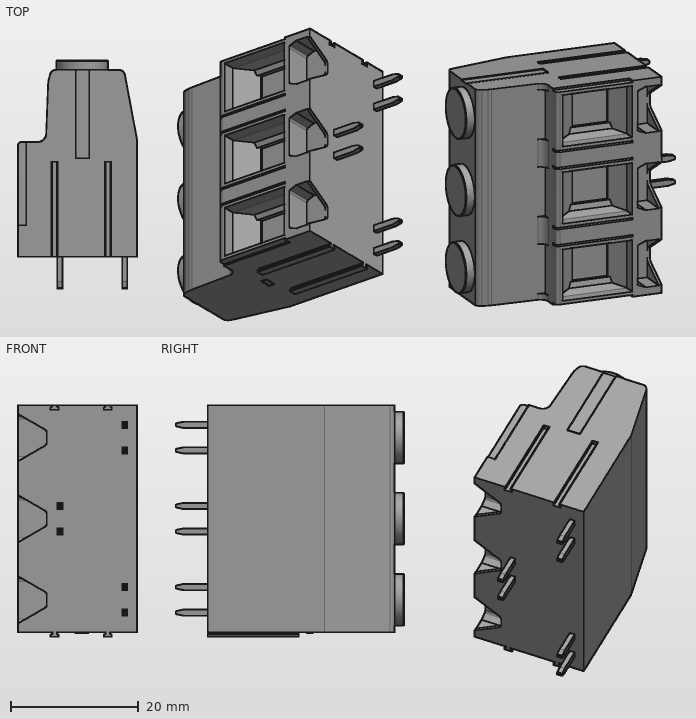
import cadquery as cq
import math


POLES = 3
PITCH = 12.7
WIDTH = 18.7
DEPTH = 29.3
HEIGHT = 35.6
FIRST_POLE_Z = HEIGHT / 2 - PITCH * (POLES - 1) / 2
POLE_Z = [FIRST_POLE_Z + PITCH * i for i in range(POLES)]
OVERLAP = 0.3

STEP_Y = 18.0
STEP_EDGE_RADIUS = 0.6
WALL_FOOT_X = 4.38
WALL_TOP = (4.73, 27.0)
WALL_BREAK = (4.79, 27.6)
WALL_SHOULDER = (5.02, 28.5)
SCREW_FACE_START_X = 5.8
BACK_TOP_X = 16.64
BACK_BREAK_Y = 18.3
BACK_EDGE_RADIUS = 1.0

WEB_RADIUS = 1.25
WEB_GAP_HALF = 4.08

SCREW_X = 10.07
SCREW_DIAMETER = 8.15
SCREW_RISE = 1.5
SCREW_EDGE = 0.13

GROOVE_DEPTH = 1.3
GROOVE_END_Y = 4.95
GROOVE_INNER = 4.8
GROOVE_OUTER = 5.1

FUNNEL_Y = (5.04, 16.85)
FUNNEL_FLOOR_Y = (7.24, 13.26)
FUNNEL_HALF_Z = 4.24
FUNNEL_BREAK_HALF_Z = 3.73
FUNNEL_FLOOR_HALF_Z = 2.78
FUNNEL_STRAIGHT_X = 2.14
FUNNEL_BREAK_X = 4.0
FUNNEL_LEDGE_X = 4.25
FUNNEL_TAPER_X = 4.55
FUNNEL_FLOOR_X = 4.95

CHAMBER_DEPTH = 4.55
LIP = 0.5
CHAMBER_TOP_Y = 4.11
CHAMBER_HALF_Z = 3.82
CHAMBER_BEND_Y = 2.7
CHAMBER_LEAN = (3.9, 3.36)
CHAMBER_TOP_HALF_Z = 2.95
CHAMBER_ARC_MIDDLE = (4.05, 3.2)
LIP_MOUTH_HALF_Z = 3.72
LIP_ANGLE = 30
LIP_CORNER_RADIUS = 0.8

PIN_LENGTH = 5.0
PIN_WIDTH = 0.85
PIN_THICKNESS = 1.0
PIN_TIP_LENGTH = 1.2
PIN_TIP_THICKNESS = 0.55
PIN_END_CHAMFER = 0.15
PIN_OFFSET_Z = 2.0
PIN_STAGGER = 10.16
PIN_BACK_X = 16.75
PIN_FRONT_X = PIN_BACK_X - PIN_STAGGER
PIN_ROOT = 1.0

RAIL_X = (5.76, 14.1)
RAIL_RISE = 0.71
RAIL_LENGTH = 14.3
SLOT_LENGTH = 14.87
SLOT_MOUTH = 1.0
SLOT_MOUTH_CHAMFER = 0.12
RAIL_NECK = 0.7
RAIL_HEAD = 1.3
RAIL_NECK_RISE = 0.2
RAIL_FLARE_RISE = 0.4

CHANNEL_X = (9.06, 11.2)
CHANNEL_START_Y = 15.43
CHANNEL_DEPTH = 0.15
STUD_X = (9.0, 11.0)
STUD_Y = (15.5, 16.5)
STUD_RISE = 0.1


def box(x, y, z):
    """Box between the (low, high) limits given for each axis."""
    return (
        cq.Workplane("XY")
        .box(x[1] - x[0], y[1] - y[0], z[1] - z[0], centered=False)
        .translate((x[0], y[0], z[0]))
    )


def make_housing():
    housing = (
        cq.Workplane("XY")
        .moveTo(0, 0)
        .lineTo(0, STEP_Y)
        .lineTo(WALL_FOOT_X, STEP_Y)
        .lineTo(*WALL_TOP)
        .lineTo(*WALL_BREAK)
        .lineTo(*WALL_SHOULDER)
        .tangentArcPoint((SCREW_FACE_START_X, DEPTH), relative=False)
        .lineTo(BACK_TOP_X, DEPTH)
        .lineTo(WIDTH, BACK_BREAK_Y)
        .lineTo(WIDTH, 0)
        .close()
        .extrude(HEIGHT)
    )
    middle = HEIGHT / 2
    housing = housing.edges(cq.NearestToPointSelector((0, STEP_Y, middle))).fillet(STEP_EDGE_RADIUS)
    return housing.edges(cq.NearestToPointSelector((BACK_TOP_X, DEPTH, middle))).fillet(BACK_EDGE_RADIUS)


def make_webs():
    lean = (WALL_TOP[0] - WALL_FOOT_X) / (WALL_TOP[1] - STEP_Y)
    top_y = STEP_Y + WEB_RADIUS
    top_x = WALL_FOOT_X + WEB_RADIUS * lean
    start_x = WALL_FOOT_X - WEB_RADIUS
    reach = WEB_RADIUS * (1 - math.sqrt(0.5))
    webs = (
        cq.Workplane("XY")
        .moveTo(start_x, STEP_Y)
        .threePointArc((WALL_FOOT_X - reach, STEP_Y + reach), (top_x, top_y))
        .lineTo(top_x + OVERLAP, top_y)
        .lineTo(top_x + OVERLAP, STEP_Y - OVERLAP)
        .lineTo(start_x, STEP_Y - OVERLAP)
        .close()
        .extrude(HEIGHT)
    )
    for z in POLE_Z:
        gap = (z - WEB_GAP_HALF, z + WEB_GAP_HALF)
        webs = webs.cut(box((0, WIDTH), (STEP_Y - OVERLAP, DEPTH), gap))
    return webs


def make_screw(z):
    return (
        cq.Workplane("XZ", origin=(SCREW_X, DEPTH - OVERLAP, z))
        .circle(SCREW_DIAMETER / 2)
        .extrude(-(SCREW_RISE + OVERLAP))
        .faces(">Y")
        .edges()
        .chamfer(SCREW_EDGE)
    )


def make_grooves(z):
    depth = (0, GROOVE_DEPTH)
    length = (GROOVE_END_Y, STEP_Y)
    upper = box(depth, length, (z + GROOVE_INNER, z + GROOVE_OUTER))
    lower = box(depth, length, (z - GROOVE_OUTER, z - GROOVE_INNER))
    return upper.union(lower)


def make_funnel(z):
    """The Y taper and the Z taper are two prisms; the funnel is what they share."""
    y_taper = (
        cq.Workplane("XY", origin=(0, 0, z))
        .polyline([
            (0, FUNNEL_Y[0]),
            (FUNNEL_STRAIGHT_X, FUNNEL_Y[0]),
            (FUNNEL_TAPER_X, FUNNEL_FLOOR_Y[0]),
            (FUNNEL_FLOOR_X, FUNNEL_FLOOR_Y[0]),
            (FUNNEL_FLOOR_X, FUNNEL_FLOOR_Y[1]),
            (FUNNEL_TAPER_X, FUNNEL_FLOOR_Y[1]),
            (FUNNEL_STRAIGHT_X, FUNNEL_Y[1]),
            (0, FUNNEL_Y[1]),
        ])
        .close()
        .extrude(PITCH / 2, both=True)
    )
    upper_half = [
        (0, FUNNEL_HALF_Z),
        (FUNNEL_STRAIGHT_X, FUNNEL_HALF_Z),
        (FUNNEL_BREAK_X, FUNNEL_BREAK_HALF_Z),
        (FUNNEL_LEDGE_X, FUNNEL_FLOOR_HALF_Z),
        (FUNNEL_FLOOR_X, FUNNEL_FLOOR_HALF_Z),
    ]
    lower_half = [(x, -half) for x, half in reversed(upper_half)]
    z_taper = (
        cq.Workplane("XZ", origin=(0, 0, z))
        .polyline(upper_half + lower_half)
        .close()
        .extrude(-DEPTH)
    )
    return y_taper.intersect(z_taper)


def make_chamber(z):
    lean_y, lean_half = CHAMBER_LEAN
    arc_mid_y, arc_mid_half = CHAMBER_ARC_MIDDLE
    cavity = (
        cq.Workplane("YZ", origin=(0, 0, z))
        .moveTo(LIP, -CHAMBER_HALF_Z)
        .lineTo(CHAMBER_BEND_Y, -CHAMBER_HALF_Z)
        .lineTo(lean_y, -lean_half)
        .threePointArc((arc_mid_y, -arc_mid_half), (CHAMBER_TOP_Y, -CHAMBER_TOP_HALF_Z))
        .lineTo(CHAMBER_TOP_Y, CHAMBER_TOP_HALF_Z)
        .threePointArc((arc_mid_y, arc_mid_half), (lean_y, lean_half))
        .lineTo(CHAMBER_BEND_Y, CHAMBER_HALF_Z)
        .lineTo(LIP, CHAMBER_HALF_Z)
        .close()
        .extrude(CHAMBER_DEPTH)
    )
    lip_bottom_half = LIP_MOUTH_HALF_Z - CHAMBER_DEPTH * math.tan(math.radians(LIP_ANGLE))
    mouth = (
        cq.Workplane("XZ", origin=(0, 0, z))
        .polyline([
            (0, -LIP_MOUTH_HALF_Z),
            (CHAMBER_DEPTH, -lip_bottom_half),
            (CHAMBER_DEPTH, lip_bottom_half),
            (0, LIP_MOUTH_HALF_Z),
        ])
        .close()
        .extrude(-LIP)
        .edges("|Y and >X")
        .fillet(LIP_CORNER_RADIUS)
    )
    return cavity.union(mouth)


def make_pin(x, z):
    half = PIN_THICKNESS / 2
    tip_half = PIN_TIP_THICKNESS / 2
    shoulder_y = PIN_TIP_LENGTH - PIN_LENGTH
    return (
        cq.Workplane("YZ", origin=(x - PIN_WIDTH / 2, 0, z))
        .polyline([
            (PIN_ROOT, half),
            (shoulder_y, half),
            (PIN_END_CHAMFER - PIN_LENGTH, tip_half),
            (-PIN_LENGTH, tip_half - PIN_END_CHAMFER),
            (-PIN_LENGTH, PIN_END_CHAMFER - tip_half),
            (PIN_END_CHAMFER - PIN_LENGTH, -tip_half),
            (shoulder_y, -half),
            (PIN_ROOT, -half),
        ])
        .close()
        .extrude(PIN_WIDTH)
    )


def make_rail(x, z, length):
    """T-shaped bar from the board face, hanging down from height z."""
    neck = RAIL_NECK / 2
    head = RAIL_HEAD / 2
    return (
        cq.Workplane("XZ", origin=(x, 0, z))
        .polyline([
            (-neck, 0),
            (-neck, -RAIL_NECK_RISE),
            (-head, -RAIL_FLARE_RISE),
            (-head, -RAIL_RISE),
            (head, -RAIL_RISE),
            (head, -RAIL_FLARE_RISE),
            (neck, -RAIL_NECK_RISE),
            (neck, 0),
        ])
        .close()
        .extrude(-length)
    )


def make_slot(x):
    mouth = SLOT_MOUTH / 2
    neck = RAIL_NECK / 2
    lead_in = (
        cq.Workplane("XZ", origin=(x, 0, HEIGHT))
        .polyline([
            (-mouth, 0),
            (-neck, -SLOT_MOUTH_CHAMFER),
            (neck, -SLOT_MOUTH_CHAMFER),
            (mouth, 0),
        ])
        .close()
        .extrude(-SLOT_LENGTH)
    )
    return make_rail(x, HEIGHT, SLOT_LENGTH).union(lead_in)


result = make_housing().union(make_webs())

for pole, pole_z in enumerate(POLE_Z):
    result = result.cut(make_grooves(pole_z))
    result = result.cut(make_funnel(pole_z))
    result = result.cut(make_chamber(pole_z))
    result = result.union(make_screw(pole_z))
    pin_x = PIN_FRONT_X if pole % 2 else PIN_BACK_X
    for offset in (-PIN_OFFSET_Z, PIN_OFFSET_Z):
        result = result.union(make_pin(pin_x, pole_z + offset))

for rail_x in RAIL_X:
    result = result.union(make_rail(rail_x, 0, RAIL_LENGTH))
    result = result.cut(make_slot(rail_x))

result = result.cut(box(CHANNEL_X, (CHANNEL_START_Y, DEPTH), (HEIGHT - CHANNEL_DEPTH, HEIGHT)))
result = result.union(box(STUD_X, STUD_Y, (-STUD_RISE, OVERLAP)))